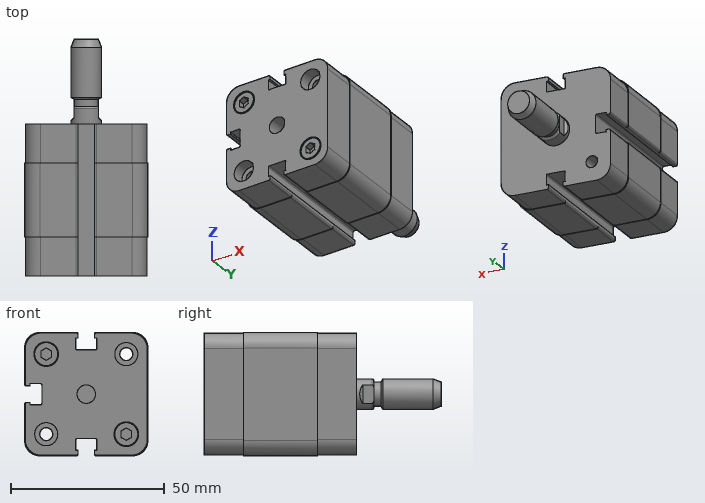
import cadquery as cq
import math


overall_length = 77.0
barrel_size = 40.1
cap_size = 39.6
corner_radius = 5.0
cap_length = 12.75
barrel_length = 24.0
body_length = 2 * cap_length + barrel_length

slot_mouth_width = 5.3
slot_width = 6.8
slot_floor = 14.45
slot_shoulder = 18.2
slot_lip_radius = 0.6
slot_floor_radius = 0.4

hole_offset = 13.0
mount_counterbore_diameter = 7.5
mount_counterbore_depth = 4.5
mount_hole_diameter = 4.13
screw_pocket_diameter = 8.0
screw_head_diameter = 7.5
screw_gap_depth = 0.3
hex_across_flats = 3.5
hex_depth = 2.5
centre_hole_diameter = 6.0
centre_hole_depth = 6.0

rod_diameter = 10.0
neck_diameter = 7.9
tip_chamfer_length = 2.65
thread_chamfer_length = 0.65
neck_length = 2.3
collar_length = 5.6
collar_round = 0.6
rod_overlap = 1.0
flat_spacing = 8.0
flat_length = 3.6


def plane_at(y):
    """Sketch plane with local x = X and local y = Z; negative extrusion runs to +Y from the given Y."""
    return cq.Workplane(cq.Plane(origin=(0, y, 0), xDir=(1, 0, 0), normal=(0, -1, 0)))


def slot_cutter(section_size, start, length):
    """T-slot open toward +Z, with rounded lips and rounded floor corners."""
    lip_top = section_size / 2
    mouth_height = lip_top - slot_floor
    shoulder_height = slot_shoulder - slot_floor
    chamber = (
        plane_at(start).center(0, slot_floor + shoulder_height / 2)
        .rect(slot_width, shoulder_height).extrude(-length)
        .edges("|Y and <Z").fillet(slot_floor_radius)
    )
    mouth = (
        plane_at(start).center(0, slot_floor + mouth_height / 2)
        .rect(slot_mouth_width, mouth_height).extrude(-length)
    )
    half_mouth = slot_mouth_width / 2
    lip_start = lip_top - slot_lip_radius
    mouth_flare = (
        plane_at(start)
        .moveTo(-half_mouth, lip_start)
        .radiusArc((-half_mouth - slot_lip_radius, lip_top), -slot_lip_radius)
        .lineTo(half_mouth + slot_lip_radius, lip_top)
        .radiusArc((half_mouth, lip_start), -slot_lip_radius)
        .close().extrude(-length)
    )
    return chamber.union(mouth).union(mouth_flare)


def body_section(size, start, length):
    """One length of the square body, slotted on +Z, -Z and -X."""
    section = plane_at(start).rect(size, size).extrude(-length)
    section = section.edges("|Y").fillet(corner_radius)
    slot = slot_cutter(size, start, length)
    for angle in (0, 180, -90):
        section = section.cut(slot.rotate((0, 0, 0), (0, 1, 0), angle))
    return section


def make_body():
    front_cap = body_section(cap_size, 0, cap_length)
    barrel = body_section(barrel_size, cap_length, barrel_length)
    rear_cap = body_section(cap_size, cap_length + barrel_length, cap_length)
    return front_cap.union(barrel).union(rear_cap)


def bore_centre_hole(body):
    hole = plane_at(0).circle(centre_hole_diameter / 2).extrude(-centre_hole_depth)
    return body.cut(hole)


def drill_mounting_holes(body):
    centres = [(hole_offset, hole_offset), (-hole_offset, -hole_offset)]
    through = plane_at(0).pushPoints(centres).circle(mount_hole_diameter / 2).extrude(-body_length)
    counterbores = (
        plane_at(0).pushPoints(centres)
        .circle(mount_counterbore_diameter / 2)
        .extrude(-mount_counterbore_depth)
    )
    return body.cut(through).cut(counterbores)


def cut_screw_heads(body):
    """Flush socket screws: a thin ring gap around each head and a hexagon socket."""
    centres = [(-hole_offset, hole_offset), (hole_offset, -hole_offset)]
    gaps = (
        plane_at(0).pushPoints(centres)
        .circle(screw_pocket_diameter / 2).circle(screw_head_diameter / 2)
        .extrude(-screw_gap_depth)
    )
    hex_across_corners = hex_across_flats / math.cos(math.pi / 6)
    socket = plane_at(0).polygon(6, hex_across_corners).extrude(-hex_depth)
    socket = socket.rotate((0, 0, 0), (0, 1, 0), 30)
    body = body.cut(gaps)
    for x, z in centres:
        body = body.cut(socket.translate((x, 0, z)))
    return body


def make_rod():
    rod_radius = rod_diameter / 2
    neck_radius = neck_diameter / 2
    collar_end = body_length + collar_length
    neck_end = collar_end + neck_length
    root_y = body_length - rod_overlap
    profile = (
        cq.Workplane("XY")
        .moveTo(0, root_y)
        .lineTo(rod_radius, root_y)
        .lineTo(rod_radius, collar_end - collar_round)
        .radiusArc((rod_radius - collar_round, collar_end), -collar_round)
        .lineTo(neck_radius, collar_end)
        .lineTo(neck_radius, neck_end)
        .lineTo(rod_radius, neck_end + thread_chamfer_length)
        .lineTo(rod_radius, overall_length - tip_chamfer_length)
        .lineTo(neck_radius, overall_length)
        .lineTo(0, overall_length)
        .close()
    )
    rod = profile.revolve(360, (0, 0, 0), (0, 1, 0))
    step = rod_radius - flat_spacing / 2
    flat_start = collar_end - flat_length
    wrench_flat = (
        cq.Workplane("XY")
        .polyline([
            (flat_spacing / 2, collar_end),
            (flat_spacing / 2, flat_start),
            (rod_radius, flat_start - step),
            (rod_radius, collar_end),
        ])
        .close().extrude(rod_radius, both=True)
    )
    return rod.cut(wrench_flat).cut(wrench_flat.mirror("YZ"))


body = make_body()
body = bore_centre_hole(body)
body = drill_mounting_holes(body)
body = cut_screw_heads(body)
result = body.union(make_rod())